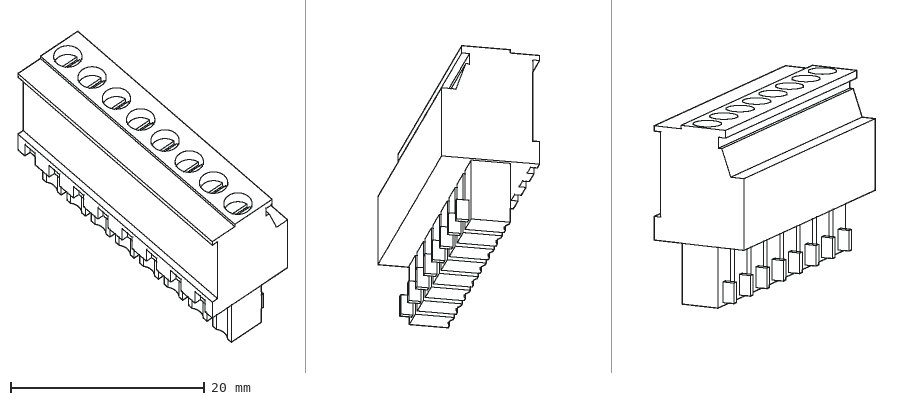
import cadquery as cq


pole_count = 8
length = 30.48
pole_pitch = length / pole_count

height = 19.1
body_bottom = 6.58
foot_top = 9.1
shelf_top = 14.2
back_groove_bottom = 17.13
back_lip_bottom = 18.3
front_lip_bottom = 18.17
front_lip_top = 18.75

depth = 10.4
front_wall = 0.73
top_step = 3.1
back_groove_floor = 7.45
slope_top = 7.83
back_lip = 8.25
slope_bottom = 8.87

notch_width = 1.6
notch_height = 1.83

plug_width = 2.93
plug_front = 3.02
plug_back = 7.15
flute_width = 1.75
flute_depth = 0.3

rib_width = 0.6
rib_back = 8.45
rib_bottom = 0.37
rib_top = 2.55

screw_diameter = 2.93
screw_y = 5.2
screw_recess = 1.4
screw_length = 3.05
slot_width = 0.45
slot_depth = 0.45

screw_top = height - screw_recess
screw_bottom = screw_top - screw_length
pole_places = [(index + 0.5) * pole_pitch for index in range(pole_count)]


def block(x_middle, width, y_range, z_range):
    """Box centred on x_middle, spanning the given Y and Z ranges."""
    y_start, y_end = y_range
    z_start, z_end = z_range
    return (
        cq.Workplane("XY")
        .box(width, y_end - y_start, z_end - z_start, centered=(True, False, False))
        .translate((x_middle, y_start, z_start))
    )


def screw_cylinder(x_middle, bottom, top):
    """Vertical cylinder of the screw diameter on the screw axis of one pole."""
    return (
        cq.Workplane("XY", origin=(x_middle, screw_y, bottom))
        .circle(screw_diameter / 2)
        .extrude(top - bottom)
    )


def make_body():
    """Housing body: one cross-section run along the whole row."""
    outline = [
        (0, body_bottom),
        (depth, body_bottom),
        (depth, shelf_top),
        (slope_bottom, shelf_top),
        (slope_top, back_groove_bottom),
        (back_groove_floor, back_groove_bottom),
        (back_groove_floor, back_lip_bottom),
        (back_lip, back_lip_bottom),
        (back_lip, height),
        (top_step, height),
        (top_step, front_lip_top),
        (0, front_lip_top),
        (0, front_lip_bottom),
        (front_wall, front_lip_bottom),
        (front_wall, foot_top),
        (0, foot_top),
    ]
    return cq.Workplane("YZ").polyline(outline).close().extrude(length)


def make_plug(x_middle):
    """Plug of one pole, with a shallow round flute down its front and a latch rib on its back."""
    half_plug = plug_width / 2
    half_flute = flute_width / 2
    plug = (
        cq.Workplane("XY")
        .moveTo(x_middle - half_plug, plug_front)
        .lineTo(x_middle - half_flute, plug_front)
        .threePointArc((x_middle, plug_front + flute_depth), (x_middle + half_flute, plug_front))
        .lineTo(x_middle + half_plug, plug_front)
        .lineTo(x_middle + half_plug, plug_back)
        .lineTo(x_middle - half_plug, plug_back)
        .close()
        .extrude(body_bottom)
    )
    rib = block(x_middle, rib_width, (plug_back, rib_back), (rib_bottom, rib_top))
    return plug.union(rib)


def make_housing():
    """Housing with a plug, a front notch and a screw hole at every pole."""
    housing = make_body()
    for x_middle in pole_places:
        notch = block(x_middle, notch_width, (0, front_wall), (body_bottom, body_bottom + notch_height))
        screw_hole = screw_cylinder(x_middle, screw_bottom, height)
        housing = housing.union(make_plug(x_middle)).cut(notch).cut(screw_hole)
    return housing


def make_screw(x_middle):
    """Slotted screw sunk below the top of the housing, with its slot running front to back."""
    screw_radius = screw_diameter / 2
    slot = block(
        x_middle,
        slot_width,
        (screw_y - screw_radius, screw_y + screw_radius),
        (screw_top - slot_depth, screw_top),
    )
    return screw_cylinder(x_middle, screw_bottom, screw_top).cut(slot)


housing = make_housing()
screws = [make_screw(x_middle) for x_middle in pole_places]

result = cq.Compound.makeCompound([housing.val(), *[screw.val() for screw in screws]])